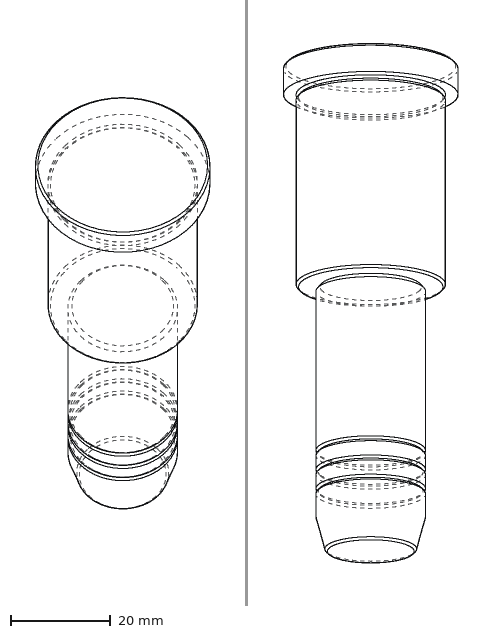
import cadquery as cq
import math

total_height = 101.0
head_radius = 35.0 / 2
head_height = 6.0
sleeve_radius = 30.0 / 2
sleeve_length = 40.0
pin_radius = 22.0 / 2

head_chamfer = 0.5
sleeve_chamfer = 0.5

groove_depth = 0.5
head_groove_width = 1.1
pin_groove_width = 1.0
pin_groove_count = 3
lowest_groove_height = 12.5
highest_groove_height = 20.5
groove_pitch = (highest_groove_height - lowest_groove_height) / (pin_groove_count - 1)

relief_depth = 0.8
relief_height = 0.9

taper_height = 7.2
taper_angle = math.radians(15)
tip_chamfer = 0.5

head_bottom = total_height - head_height
sleeve_bottom = head_bottom - sleeve_length


def cylinder(radius, bottom, top):
    return cq.Workplane("XY").workplane(offset=bottom).circle(radius).extrude(top - bottom)


def revolved(points):
    """Revolve a closed (radius, height) outline around the Z axis."""
    return cq.Workplane("XZ").polyline(points).close().revolve(360, (0, 0, 0), (0, 1, 0))


def v_groove(radius, height, width):
    """Symmetric V groove around a cylinder, centred on the given height."""
    return revolved([
        (radius, height + width / 2),
        (radius - groove_depth, height),
        (radius, height - width / 2),
    ])


def shoulder_relief(radius, shoulder):
    """Conical relief, deepest at the shoulder and running out to the full radius below it."""
    return revolved([
        (radius, shoulder),
        (radius - relief_depth, shoulder),
        (radius, shoulder - relief_height),
    ])


def tapered_tip():
    tip_radius = pin_radius - (taper_height - tip_chamfer) * math.tan(taper_angle)
    return revolved([
        (0, 0),
        (tip_radius - tip_chamfer, 0),
        (tip_radius, tip_chamfer),
        (pin_radius, taper_height),
        (0, taper_height),
    ])


head = cylinder(head_radius, head_bottom, total_height).faces(">Z").chamfer(head_chamfer)
sleeve = cylinder(sleeve_radius, sleeve_bottom, head_bottom).faces("<Z").chamfer(sleeve_chamfer)
pin = cylinder(pin_radius, taper_height, sleeve_bottom)
result = head.union(sleeve).union(pin).union(tapered_tip())

result = result.cut(v_groove(sleeve_radius, head_bottom - head_groove_width / 2, head_groove_width))
result = result.cut(shoulder_relief(pin_radius, sleeve_bottom))
for index in range(pin_groove_count):
    groove_height = lowest_groove_height + index * groove_pitch
    result = result.cut(v_groove(pin_radius, groove_height, pin_groove_width))